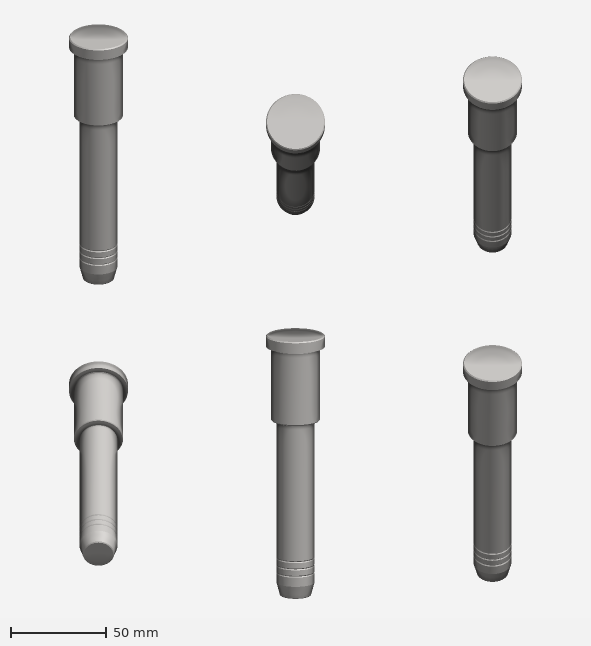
import cadquery as cq
import math

total_length = 141.0
head_radius = 15.5
head_height = 6.0
collar_radius = 13.0
collar_bottom_depth = 46.0
shaft_radius = 10.0

head_chamfer = 0.5
edge_break = 0.4

relief_width = 1.0
relief_depth = 0.4

ring_count = 3
ring_pitch = 4.0
ring_width = 1.0
ring_depth = 0.4
lowest_ring_height = 12.5

tip_length = 7.0
tip_angle = 15.0

head_bottom = total_length - head_height
collar_bottom = total_length - collar_bottom_depth
tip_end_radius = shaft_radius - tip_length * math.tan(math.radians(tip_angle))


def cylinder(radius, bottom, top):
    """Solid cylinder on the Z axis between two heights."""
    return cq.Workplane("XY").workplane(offset=bottom).circle(radius).extrude(top - bottom)


def groove(radius, depth, bottom, width):
    """Ring that cuts a square groove into a cylinder of the given radius."""
    return cylinder(radius, bottom, bottom + width).cut(
        cylinder(radius - depth, bottom, bottom + width)
    )


def v_ring(radius, depth, height, width):
    """Ring that cuts a symmetric V groove centred at the given height."""
    profile = [(radius, height - width / 2), (radius - depth, height), (radius, height + width / 2)]
    return cq.Workplane("XZ").polyline(profile).close().revolve(360, (0, 0, 0), (0, 1, 0))


head = cylinder(head_radius, head_bottom, total_length).faces(">Z").edges().chamfer(head_chamfer)

collar = cylinder(collar_radius, collar_bottom, head_bottom).faces("<Z").edges().chamfer(edge_break)
collar = collar.cut(v_ring(collar_radius, ring_depth, head_bottom - ring_width / 2, ring_width))

shaft = cylinder(shaft_radius, tip_length, collar_bottom)
shaft = shaft.cut(groove(shaft_radius, relief_depth, collar_bottom - relief_width, relief_width))
for ring in range(ring_count):
    ring_height = lowest_ring_height + ring * ring_pitch
    shaft = shaft.cut(v_ring(shaft_radius, ring_depth, ring_height, ring_width))

tip = cq.Workplane("XY").add(
    cq.Solid.makeCone(tip_end_radius, shaft_radius, tip_length)
)
tip = tip.faces("<Z").edges().chamfer(edge_break)

result = head.union(collar).union(shaft).union(tip)